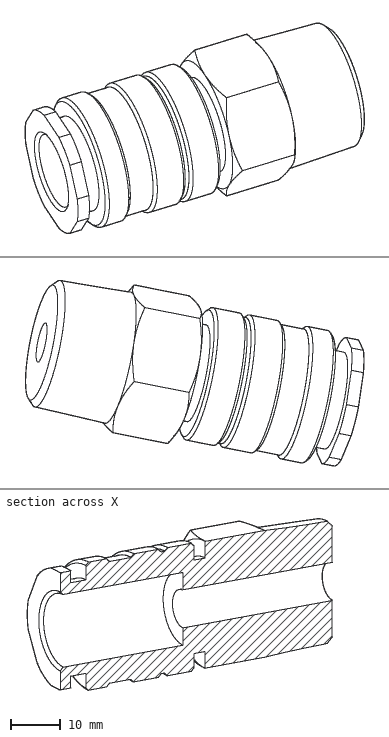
import cadquery as cq
import math

total_length = 64.0

flange_radius = 13.0
flange_across_flats = 24.95
flange_thickness = 2.55
neck_radius = 10.0

band_radius = 13.665
groove_radius = 13.0
band_chamfer = 0.65
bands = [(6.0, 11.6), (16.65, 23.75), (24.6, 31.5)]
sleeve_start = bands[0][0]
sleeve_end = bands[-1][1]

hex_start = 34.05
hex_end = 48.0
hex_across_flats = 27.0
hex_across_corners = hex_across_flats / math.cos(math.radians(30))
hex_chamfer_angle = 30

thread_root_radius = 13.5
thread_taper = 1 / 32
thread_chamfer = 1.2

tube_bore_radius = 7.7
tube_bore_depth = 28.8
entry_chamfer = 0.7
through_radius = 4.0


def revolve_profile(points):
    """Revolve a closed outline of (radius, Y) points about the Y axis."""
    return cq.Workplane("XY").polyline(points).close().revolve(360, (0, 0, 0), (0, 1, 0))


def cylinder(radius, start, end):
    return revolve_profile([(0, start), (radius, start), (radius, end), (0, end)])


def chamfered_band(start, end):
    shoulder = band_radius - band_chamfer
    return revolve_profile([
        (0, start),
        (shoulder, start),
        (band_radius, start + band_chamfer),
        (band_radius, end - band_chamfer),
        (shoulder, end),
        (0, end),
    ])


def hexagon(across_flats, start, end):
    """Hexagonal prism along Y with corners on the X axis."""
    across_corners = across_flats / math.cos(math.radians(30))
    plane = cq.Workplane("XZ", origin=(0, start, 0))
    return plane.polygon(6, across_corners).extrude(start - end)


def wrench_hexagon():
    corner_radius = hex_across_corners / 2
    face_radius = hex_across_flats / 2
    drop = (corner_radius - face_radius) * math.tan(math.radians(hex_chamfer_angle))
    chamfer_envelope = revolve_profile([
        (0, hex_start),
        (face_radius, hex_start),
        (corner_radius, hex_start + drop),
        (corner_radius, hex_end - drop),
        (face_radius, hex_end),
        (0, hex_end),
    ])
    return hexagon(hex_across_flats, hex_start, hex_end).intersect(chamfer_envelope)


def release_flange():
    disc = cylinder(flange_radius, 0, flange_thickness)
    return disc.intersect(hexagon(flange_across_flats, 0, flange_thickness))


def threaded_end():
    chamfer_start = total_length - thread_chamfer
    tip_radius = thread_root_radius - thread_taper * (chamfer_start - hex_end)
    return revolve_profile([
        (0, hex_end),
        (thread_root_radius, hex_end),
        (tip_radius, chamfer_start),
        (tip_radius - thread_chamfer, total_length),
        (0, total_length),
    ])


def tube_bore():
    return revolve_profile([
        (0, 0),
        (tube_bore_radius + entry_chamfer, 0),
        (tube_bore_radius, entry_chamfer),
        (tube_bore_radius, tube_bore_depth),
        (0, tube_bore_depth),
    ])


body = cylinder(neck_radius, 0, hex_end)
body = body.union(release_flange())
body = body.union(cylinder(groove_radius, sleeve_start, sleeve_end))
for band_start, band_end in bands:
    body = body.union(chamfered_band(band_start, band_end))
body = body.union(wrench_hexagon())
body = body.union(threaded_end())

result = body.cut(tube_bore()).cut(cylinder(through_radius, 0, total_length))